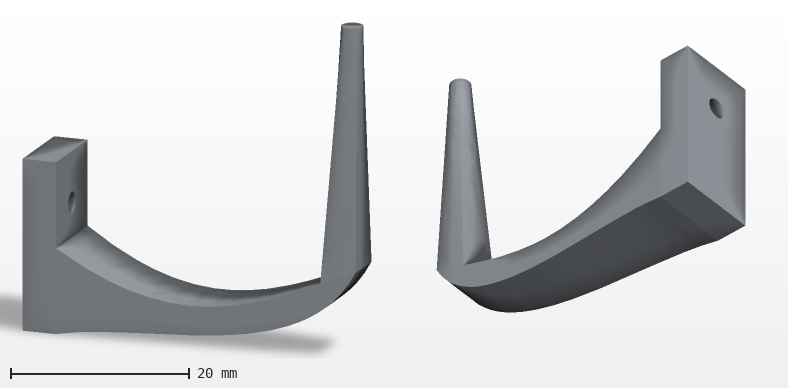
import cadquery as cq

plate_thickness = 4.0
plate_width = 10.0
plate_height = 20.0
hole_diameter = 2.5
hole_height = 14.0

overall_length = 39.0
arm_root_height = plate_height / 2
arm_end_height = arm_root_height
arm_end_width = plate_width / 2
upper_edge_controls = [(18.65, 0.5), (27.9, 5.4)]
lower_edge_controls = [(14.75, 2.38), (32.88, -1.95)]

overall_height = 38.0
peg_tip_diameter = 2.5
peg_tip_inset = 0.1
peg_base_length = 4.2
peg_base_drop = 2.38


def arm_width_at(x):
    """Width of the arm, tapering evenly from the plate to the far end."""
    travel = (x - plate_thickness) / (overall_length - plate_thickness)
    return plate_width + (arm_end_width - plate_width) * travel


def make_plate():
    plate = cq.Workplane("XY").box(
        plate_thickness, plate_width, plate_height, centered=(False, True, False)
    )
    hole = (
        cq.Workplane("YZ")
        .center(0, hole_height)
        .circle(hole_diameter / 2)
        .extrude(plate_thickness)
    )
    return plate.cut(hole)


def make_arm():
    root_top = (plate_thickness, arm_root_height)
    root_bottom = (plate_thickness, 0)
    tip = (overall_length, arm_end_height)
    side_profile = (
        cq.Workplane("XZ", origin=(0, plate_width / 2, 0))
        .moveTo(*root_bottom)
        .bezier([root_bottom, *lower_edge_controls, tip])
        .bezier([tip, *reversed(upper_edge_controls), root_top])
        .close()
        .extrude(plate_width)
    )
    taper_outline = (
        cq.Workplane("XY")
        .polyline([
            (plate_thickness, -plate_width / 2),
            (overall_length, -arm_end_width / 2),
            (overall_length, arm_end_width / 2),
            (plate_thickness, plate_width / 2),
        ])
        .close()
        .extrude(plate_height)
    )
    return side_profile.intersect(taper_outline)


def make_peg():
    near_x = overall_length - peg_base_length
    near_z = arm_end_height - peg_base_drop
    near_half_width = arm_width_at(near_x) / 2
    far_half_width = arm_end_width / 2
    base = cq.Wire.makePolygon(
        [
            cq.Vector(near_x, -near_half_width, near_z),
            cq.Vector(overall_length, -far_half_width, arm_end_height),
            cq.Vector(overall_length, far_half_width, arm_end_height),
            cq.Vector(near_x, near_half_width, near_z),
        ],
        close=True,
    )
    tip_radius = peg_tip_diameter / 2
    tip_center = cq.Vector(overall_length - peg_tip_inset - tip_radius, 0, overall_height)
    tip = cq.Wire.makeCircle(tip_radius, tip_center, cq.Vector(0, 0, 1))
    return cq.Workplane(cq.Solid.makeLoft([base, tip], True))


result = make_plate().union(make_arm()).union(make_peg())